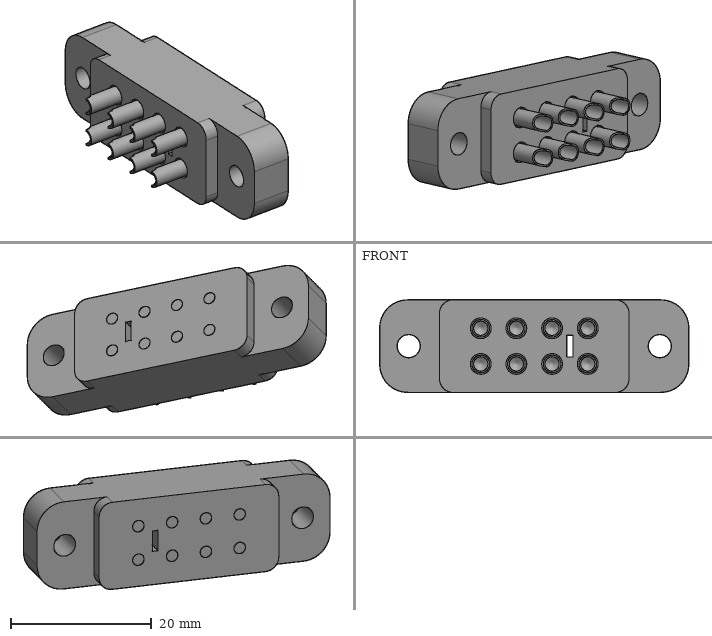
import cadquery as cq
import math

flange_length = 44.0
flange_thickness = 6.1
flange_corner_radius = 4.0
screw_hole_diameter = 3.25
screw_hole_offset = 17.85

height = 13.2
block_length = 26.95
block_corner_radius = 2.0
solder_side_step = 2.05
mating_side_step = 2.38
block_depth = solder_side_step + flange_thickness + mating_side_step

column_span = 15.22
columns = 4
rows = 2
pitch = column_span / (columns - 1)

slot_width = 0.85
slot_height = 3.1
slot_offset = pitch

contact_diameter = 2.5
solder_end_length = 5.3
shoulder_depth = solder_side_step + flange_thickness
tail_diameter = 1.7
tail_overhang = 0.055
clearance_diameter = 2.95
clearance_depth = 0.9
cup_diameter = 2.02
cup_depth = solder_end_length
drill_tip_angle = 118.0
cup_notch_radius = 1.6


def contact_positions():
    """X, Z of every contact axis, centred on the housing."""
    return [
        ((column - (columns - 1) / 2) * pitch, (row - (rows - 1) / 2) * pitch)
        for row in range(rows)
        for column in range(columns)
    ]


def plane_at(y):
    """XZ plane at the given Y, with its normal pointing to -Y."""
    return cq.Workplane("XZ", origin=(0, y, 0))


def rod(diameter, start, end):
    """Cylinder on the Y axis from one Y to a larger Y."""
    return plane_at(start).circle(diameter / 2).extrude(start - end)


def rounded_plate(length, corner_radius, start, thickness):
    plate = plane_at(start).rect(length, height).extrude(-thickness)
    return plate.edges("|Y").fillet(corner_radius)


def make_housing():
    block = rounded_plate(block_length, block_corner_radius, 0, block_depth)
    flange = rounded_plate(flange_length, flange_corner_radius, solder_side_step, flange_thickness)
    body = block.union(flange)

    for x in (-screw_hole_offset, screw_hole_offset):
        body = body.cut(rod(screw_hole_diameter, 0, block_depth).translate((x, 0, 0)))

    slot = plane_at(0).center(slot_offset, 0).rect(slot_width, slot_height).extrude(-block_depth)
    body = body.cut(slot)

    contact_hole = (
        rod(clearance_diameter, 0, clearance_depth)
        .union(rod(contact_diameter, 0, shoulder_depth))
        .union(rod(tail_diameter, 0, block_depth))
    )
    for x, z in contact_positions():
        body = body.cut(contact_hole.translate((x, 0, z)))
    return body


def make_contact():
    """One contact on the Y axis, solder cup open to -Y."""
    tip = -solder_end_length
    pin = rod(contact_diameter, tip, shoulder_depth)
    tail = rod(tail_diameter, shoulder_depth, block_depth + tail_overhang)
    contact = pin.union(tail)

    cup_radius = cup_diameter / 2
    cone_depth = cup_radius / math.tan(math.radians(drill_tip_angle / 2))
    cup = (
        cq.Workplane("XY")
        .moveTo(0, tip)
        .lineTo(cup_radius, tip)
        .lineTo(cup_radius, tip + cup_depth)
        .lineTo(0, tip + cup_depth + cone_depth)
        .close()
        .revolve(360, (0, 0, 0), (0, 1, 0))
    )

    notch = (
        cq.Workplane("XY")
        .center(-cup_notch_radius, tip)
        .circle(cup_notch_radius)
        .extrude(contact_diameter, both=True)
    )
    return contact.cut(cup).cut(notch)


housing = make_housing()
contact = make_contact()
contacts = [contact.translate((x, 0, z)) for x, z in contact_positions()]

result = cq.Compound.makeCompound([housing.val(), *[body.val() for body in contacts]])